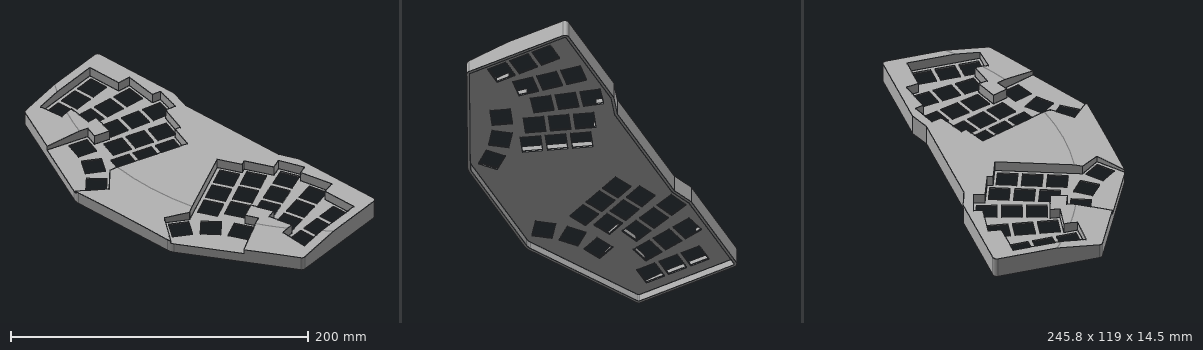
import cadquery as cq
import math

LENGTH = 245.8
WIDTH = 119.0
HEIGHT = 14.5
HALF_LENGTH = LENGTH / 2
BACK_Y = WIDTH / 2
FRONT_Y = -WIDTH / 2

WAIST_Y = 54.3
WAIST_HALF_WIDTH = 40.8
WING_HALF_WIDTH = 55.3
SIDE_FRONT_Y = -17.0
FRONT_HALF_WIDTH = 41.8
SIDE_CORNER_RADIUS = 3.0
FRONT_CORNER_RADIUS = 9.8

SLOPE_RADIUS = 193.2
SLOPE_START_Y = -29.2
SLOPE_ANGLE = 9.0
SLOPE_AXIS_Y = SLOPE_START_Y + SLOPE_RADIUS

PLATE_TOP = 7.4
PLATE_THICKNESS = 1.2
WALL = 2.0

KEY_HOLE = 13.8
CELL_WIDTH = 19.0
CELL_DEPTH = 17.7
ROW_PITCH = 17.0
ROWS = 3
COLUMN_HALF_DEPTH = ((ROWS - 1) * ROW_PITCH + CELL_DEPTH) / 2

COLUMNS = [
    (-106.7, 18.0, 0),
    (-84.3, 25.8, 10),
    (-62.2, 27.3, 17.7),
    (-46.5, 13.3, 21.8),
    (-31.5, 3.0, 21.8),
]
THUMBS = [
    (-69.5, -19.0, 21.8),
    (-51.5, -29.0, 38.2),
    (-37.0, -43.3, 51.6),
]
THUMB_SIDE_COLUMNS = COLUMNS[3:]
THUMB_RUN = 7.4
THUMB_REACH = 49.2
OUTER_GAP_SPAN = 8.5
INNER_GAP_SPAN = 3.7

CUT_MARGIN = 2.5


def turned_point(frame, right, back):
    """Point at the given offsets to the right and back in a key's own turned frame."""
    x, y, turn = frame
    c = math.cos(math.radians(turn))
    s = math.sin(math.radians(turn))
    return (x + right * c + back * s, y - right * s + back * c)


def prism(points, bottom, top):
    return cq.Workplane("XY").workplane(offset=bottom).polyline(points).close().extrude(top - bottom)


def turned_box(frame, left, right, front, back, bottom, top):
    corners = [(left, front), (right, front), (right, back), (left, back)]
    return prism([turned_point(frame, *corner) for corner in corners], bottom, top)


def both_sides(solid):
    return solid.union(solid.mirror("YZ"))


def make_block():
    left = [
        (-WAIST_HALF_WIDTH, WAIST_Y),
        (-WING_HALF_WIDTH, BACK_Y),
        (-HALF_LENGTH, BACK_Y),
        (-HALF_LENGTH, SIDE_FRONT_Y),
        (-FRONT_HALF_WIDTH, FRONT_Y),
    ]
    right = [(-x, y) for x, y in reversed(left)]
    block = prism(left + right, 0, HEIGHT)
    block = block.edges("|Z").edges("<X or >X").fillet(SIDE_CORNER_RADIUS)
    return block.edges("|Z").edges("<Y").fillet(FRONT_CORNER_RADIUS)


def make_cavity(block):
    """Hollow below the key plate, an even wall inside the outline and open underneath."""
    outline = cq.Workplane("XY").add(block.faces("<Z").wires().vals()).toPending()
    return outline.offset2D(-WALL).extrude(PLATE_TOP - PLATE_THICKNESS)


def make_slope_cutter():
    run = WIDTH
    drop = run * math.tan(math.radians(SLOPE_ANGLE))
    profile = [
        (SLOPE_RADIUS, HEIGHT),
        (SLOPE_RADIUS + run, HEIGHT - drop),
        (SLOPE_RADIUS + run, HEIGHT + CUT_MARGIN),
        (SLOPE_RADIUS, HEIGHT + CUT_MARGIN),
    ]
    ring = cq.Workplane("XZ").polyline(profile).close().revolve(360, (0, 0), (0, 1))
    return ring.translate((0, SLOPE_AXIS_Y, 0))


def make_pocket():
    """Left key pocket, open to the front at the thumb keys."""
    half_w = CELL_WIDTH / 2
    half_d = CELL_DEPTH / 2
    top = HEIGHT + CUT_MARGIN

    areas = []
    for column in COLUMNS:
        run = THUMB_RUN if column in THUMB_SIDE_COLUMNS else 0
        front = -COLUMN_HALF_DEPTH - run
        areas.append(turned_box(column, -half_w, half_w, front, COLUMN_HALF_DEPTH, PLATE_TOP, top))

    gaps = [
        (COLUMNS[0], COLUMNS[1], 1, OUTER_GAP_SPAN),
        (COLUMNS[1], COLUMNS[2], 1, OUTER_GAP_SPAN),
        (COLUMNS[3], COLUMNS[2], -1, INNER_GAP_SPAN),
    ]
    for column, neighbour, side, span in gaps:
        wedge = [
            turned_point(column, side * half_w, COLUMN_HALF_DEPTH),
            turned_point(column, side * (half_w + span), COLUMN_HALF_DEPTH),
            turned_point(neighbour, -side * half_w, -COLUMN_HALF_DEPTH),
        ]
        areas.append(prism(wedge, PLATE_TOP, top))

    outer, inner = THUMBS[0], THUMBS[-1]
    thumb_area = [
        turned_point(outer, -half_w, half_d),
        turned_point(outer, half_w, half_d),
        turned_point(inner, -half_w, half_d),
        turned_point(inner, half_w, half_d),
        turned_point(inner, half_w, -THUMB_REACH),
        turned_point(outer, -half_w, -THUMB_REACH),
    ]
    areas.append(prism(thumb_area, PLATE_TOP, top))

    pocket = areas[0]
    for area in areas[1:]:
        pocket = pocket.union(area)
    return pocket


def make_key_holes():
    """Square holes of the left half."""
    half = KEY_HOLE / 2
    keys = list(THUMBS)
    for column in COLUMNS:
        for row in range(ROWS):
            x, y = turned_point(column, 0, (row - (ROWS - 1) / 2) * ROW_PITCH)
            keys.append((x, y, column[2]))
    holes = cq.Workplane("XY")
    for key in keys:
        holes = holes.add(turned_box(key, -half, half, -half, half, 0, PLATE_TOP + CUT_MARGIN))
    return holes.combine()


block = make_block()
case = block.cut(make_cavity(block))
case = case.cut(make_slope_cutter())
case = case.cut(both_sides(make_pocket()))
result = case.cut(both_sides(make_key_holes()))